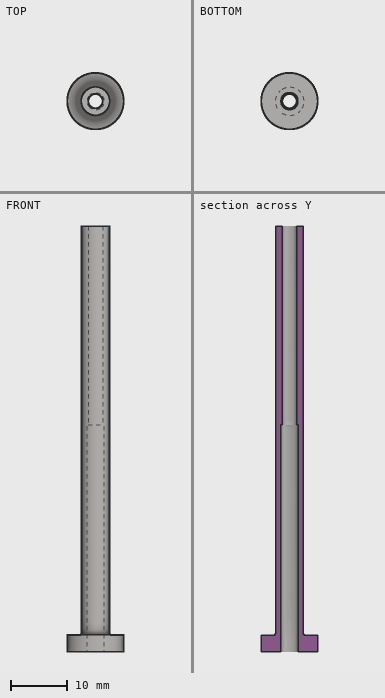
import cadquery as cq

total_length = 75.0
head_diameter = 10.0
head_height = 3.0
tube_diameter = 5.0
guide_diameter = 2.5
guide_length = 35.0
relief_diameter = 3.0
root_fillet_radius = 0.3

head_radius = head_diameter / 2
tube_radius = tube_diameter / 2


def make_body():
    """Head and tube turned as one profile, with a fillet where they meet."""
    profile = (
        cq.Workplane("XZ")
        .moveTo(0, 0)
        .lineTo(head_radius, 0)
        .lineTo(head_radius, head_height)
        .lineTo(tube_radius + root_fillet_radius, head_height)
        .radiusArc((tube_radius, head_height + root_fillet_radius), root_fillet_radius)
        .lineTo(tube_radius, total_length)
        .lineTo(0, total_length)
        .close()
    )
    return profile.revolve(360, (0, 0, 0), (0, 1, 0))


def make_bore():
    """Guide bore along the whole axis, widened below the guide length."""
    relief_length = total_length - guide_length
    guide = cq.Workplane("XY").circle(guide_diameter / 2).extrude(total_length)
    relief = cq.Workplane("XY").circle(relief_diameter / 2).extrude(relief_length)
    return guide.union(relief)


result = make_body().cut(make_bore())